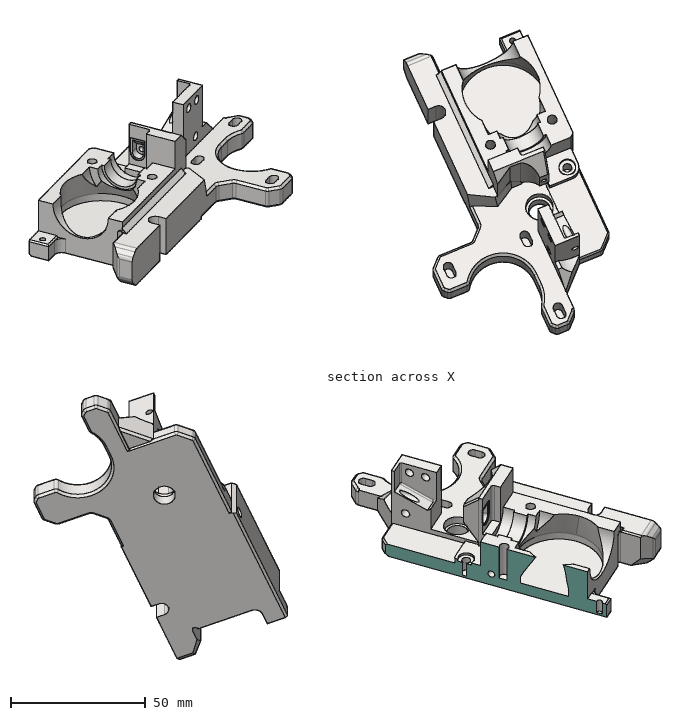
import cadquery as cq

width = 67.6
length = 118.6
height = 31.5
blind_floor = 1.2
light_chamfer = 0.6
edge_chamfer = 1.0
corner_round = 1.8

plate_top = 8.3
shelf_top = 6.0
shelf_left = 1.4
shelf_back = 96.3
step_x = 15.8

block_front = 12.1
block_back = 55.4
block_right = 35.0
block_top = 19.8
block_corner_chamfer = 1.4

rail_right = 45.1
rail_top = 15.5

axis_x = 17.5
axis_z = block_top

motor_x = 46.5
motor_y = 97.3
motor_pitch = 31.0
motor_travel = 2.8

tower_right = 25.7
tower_front = 80.4
pillar_left = 14.1
pillar_back = 60.4
recess_back = 58.8


def box(x0, x1, y0, y1, z0, z1):
    """Axis-aligned box between two corners."""
    return cq.Workplane("XY").box(x1 - x0, y1 - y0, z1 - z0, centered=False).translate((x0, y0, z0))


def prism(points, z0, z1):
    """Vertical prism over an XY outline."""
    return cq.Workplane("XY").workplane(offset=z0).polyline(points).close().extrude(z1 - z0)


def side_prism(points, x0, x1):
    """Prism along X over a YZ outline."""
    return cq.Workplane("YZ").workplane(offset=x0).polyline(points).close().extrude(x1 - x0)


def drill_z(x, y, radius, z0, z1):
    return cq.Workplane("XY").workplane(offset=z0).center(x, y).circle(radius).extrude(z1 - z0)


def drill_y(x, z, radius, y0, y1):
    return cq.Workplane("XZ", origin=(x, y0, z)).circle(radius).extrude(y0 - y1)


def drill_x(y, z, radius, x0, x1):
    return cq.Workplane("YZ", origin=(x0, y, z)).circle(radius).extrude(x1 - x0)


def slot_y(x, y, radius, travel, z0, z1):
    """Vertical slot elongated along Y."""
    return (
        cq.Workplane("XY", origin=(x, y, z0))
        .slot2D(travel + 2 * radius, 2 * radius, 90)
        .extrude(z1 - z0)
    )


def make_motor_plate():
    arm_right = 36.5
    arm_top = 89.7
    arm_bottom = 74.6
    neck = 4.7
    outline = [
        (tower_right, 114.7),
        (29.7, length),
        (34.5, length),
        (arm_right, 116.6),
        (arm_right, motor_y),
        (motor_x, arm_top),
        (65.6, arm_top),
        (width, 87.7),
        (width, 78.8),
        (63.5, arm_bottom),
        (rail_right + neck, arm_bottom),
        (rail_right, arm_bottom - neck),
        (rail_right, block_front),
        (tower_right, block_front),
    ]
    bore_y = 98.2
    bore_radius = 12.6
    bore_travel = 4.7
    bore = slot_y(motor_x, bore_y, bore_radius, bore_travel, 0, plate_top)
    plate = prism(outline, 0, plate_top).cut(bore)
    plate = plate.edges("|Z").fillet(corner_round)
    plate = plate.faces("<Z or >Z").edges().chamfer(edge_chamfer)
    core = box(step_x, rail_right - 2.4, block_front + 1.2, tower_front, 0, plate_top)
    square_edge = box(tower_right, tower_right + 2.4, tower_front, 113.9, edge_chamfer, plate_top)
    return plate.union(core).union(square_edge)


def cut_motor_slots(body):
    slot_radius = 1.8
    half = motor_pitch / 2
    for dx, dy in [(-half, half), (-half, -half), (half, -half)]:
        slot = slot_y(motor_x + dx, motor_y + dy, slot_radius, motor_travel, blind_floor, plate_top)
        body = body.cut(slot)
    return body


pad_x = 5.7
pad_y = 61.8


def make_shelf():
    corner = 5.2
    inner = step_x + 5.9
    outline = [
        (shelf_left, block_front + 1.2),
        (shelf_left, shelf_back - corner),
        (shelf_left + corner, shelf_back),
        (inner, shelf_back),
        (inner, block_front + 1.2),
    ]
    shelf = prism(outline, 0, shelf_top).edges("|Z").fillet(corner_round)
    shelf = shelf.faces("<Z").edges().chamfer(edge_chamfer)
    shelf = shelf.faces(">Z").edges().chamfer(light_chamfer)
    filler = box(step_x, tower_right + 2.4, tower_front - 1.2, shelf_back - edge_chamfer, 0, plate_top)
    pad_radius = pad_x - shelf_left
    pad_right = pillar_left + 0.6
    pad = (
        box(shelf_left, pad_right, block_back - 2.4, pad_y + pad_radius, edge_chamfer, plate_top)
        .edges("|Z and <X and >Y")
        .fillet(pad_radius - 0.1)
    )
    return shelf.union(filler).union(pad)


def cut_pad_hole(body):
    head_radius = 3.1
    head_depth = 1.0
    screw_radius = 1.7
    body = body.cut(drill_z(pad_x, pad_y, head_radius, plate_top - head_depth, plate_top))
    return body.cut(drill_z(pad_x, pad_y, screw_radius, blind_floor, plate_top))


def cut_shaft_hole(body):
    x, y = 21.5, 72.1
    counterbore_depth = 3.3
    counterbore_radius = 5.1
    bore_radius = 4.0
    body = body.cut(drill_z(x, y, counterbore_radius, plate_top - counterbore_depth, plate_top))
    return body.cut(drill_z(x, y, bore_radius, 0, plate_top))


def make_block():
    block = box(0, block_right, block_front, block_back, 0, block_top)
    block = block.edges("|Z and <X and >Y").chamfer(block_corner_chamfer)
    return block.edges("<Z and <X").chamfer(edge_chamfer)


def cut_channel(body):
    """Stepped half-round channel along Y, open at the block top."""
    steps = [
        (11.5, block_front, 42.2),
        (8.1, 42.2, 45.4),
        (7.0, 45.4, 50.8),
        (8.1, 50.8, block_back),
    ]
    below_top = box(0, block_right, 0, block_back, 0, block_top)
    for radius, y0, y1 in steps:
        body = body.cut(drill_y(axis_x, axis_z, radius, y0, y1).intersect(below_top))
    return body


def cut_bowl(body):
    """Round pocket with an upright front wall that widens toward the rear as it deepens."""
    mouth_y = 27.5
    mouth_radius = 14.5
    widening = 2.0
    floor = 5.2
    wide_z = plate_top
    wide_radius = mouth_radius + widening
    wide_y = mouth_y + widening
    cone = (
        cq.Workplane("XY", origin=(axis_x, wide_y, wide_z))
        .circle(wide_radius)
        .workplane(offset=block_top - wide_z)
        .center(0, -widening)
        .circle(mouth_radius)
        .loft()
    )
    base = drill_z(axis_x, wide_y, wide_radius, floor, wide_z)
    return body.cut(cone).cut(base)


def cut_block_holes(body):
    cap_offset = 12.5
    cap_y = 46.3
    cap_radius = 1.8
    cap_floor = 4.7
    for x in (axis_x - cap_offset, axis_x + cap_offset):
        body = body.cut(drill_z(x, cap_y, cap_radius, cap_floor, block_top))
    side_y, side_z = 51.0, 5.5
    for radius, depth in [(2.0, 3.5), (1.3, 9.5)]:
        body = body.cut(drill_x(side_y, side_z, radius, 0, depth))
    return body


def make_foot():
    foot_right = 8.2
    foot_front = 4.4
    foot_top = 6.6
    foot_fillet = 3.1
    foot = box(0, foot_right, foot_front, block_front + 1.2, 0, foot_top)
    foot = foot.edges("<X and <Z").chamfer(edge_chamfer)
    foot = foot.faces(">Z").edges(">X or <Y").chamfer(light_chamfer)
    relief_x = foot_right + foot_fillet
    relief_y = block_front - foot_fillet
    web = box(foot_right, relief_x, relief_y, block_front, 0, foot_top - light_chamfer)
    relief = drill_z(relief_x, relief_y, foot_fillet, 0, foot_top)
    foot = foot.union(web.cut(relief))
    hole_x, hole_y, hole_radius = 4.2, 7.4, 1.1
    return foot.cut(drill_z(hole_x, hole_y, hole_radius, blind_floor, foot_top))


def make_rail():
    nose = 3.0
    corner = 4.0
    blend = 2.4
    rail_back = 56.9
    profile = [
        (rail_back, 0),
        (nose, 0),
        (0, nose),
        (0, rail_top - nose),
        (nose, rail_top),
        (rail_back, rail_top),
    ]
    rail = side_prism(profile, block_right, rail_right)
    nose_edges = cq.selectors.BoxSelector((0, -1.2, 1.2), (width, 2 * nose, rail_top + 1.2))
    rail = rail.edges("|X").edges(nose_edges).fillet(blend)
    outline = [
        (block_right, rail_back),
        (block_right, corner),
        (block_right + corner, 0),
        (rail_right, 0),
        (rail_right, rail_back),
    ]
    plan = prism(outline, 0, rail_top).edges("|Z").edges("<Y").edges("<X").fillet(corner_round)
    undercut = cq.Workplane(
        cq.Plane(origin=(block_right, corner, 4.5), xDir=(1, -1, -0.4), normal=(11.8, 8.9, 7.5))
    )
    wedge = [
        (block_right, rail_top - light_chamfer),
        (block_right, rail_top),
        (block_right + light_chamfer, rail_top),
    ]
    side_bevel = cq.Workplane("XZ").polyline(wedge).close().extrude(-rail_back)
    rail = rail.intersect(plan).cut(side_bevel)
    return rail.cut(undercut.rect(length, length).extrude(-height))


def make_rail_back():
    """Peaked rear end of the rail, its walls leaning forward as they rise."""
    front = 55.8
    left = 23.7
    foot_line = [
        (left, front),
        (left, 61.2),
        (27.9, 61.2),
        (35.6, 66.1),
        (rail_right, 61.7),
        (rail_right, front),
    ]
    top_line = [
        (left, front),
        (left, 61.0),
        (28.2, 61.0),
        (36.1, 64.5),
        (rail_right, 59.4),
        (rail_right, front),
    ]
    sunk = 1.2
    return (
        cq.Workplane("XY", origin=(0, 0, plate_top - sunk))
        .polyline(foot_line)
        .close()
        .workplane(offset=rail_top - plate_top + sunk)
        .polyline(top_line)
        .close()
        .loft(ruled=True)
    )


def make_rail_strip():
    """Sloped strip that blends the block side into the rail top."""
    run = 1.9
    front = block_front - 0.6
    strip = [(block_right, rail_top), (block_right + run, rail_top), (block_right, rail_top + run)]
    return cq.Workplane("XZ", origin=(0, front, 0)).polyline(strip).close().extrude(front - pillar_back)


def cut_rail_notch(body):
    radius = 2.6
    x, y = 39.3 + radius, 25.4
    notch = drill_z(x, y, radius, 0, rail_top)
    return body.cut(notch).cut(box(x, rail_right, y - radius, y + radius, 0, rail_top))


def cut_corner_groove(body):
    """Vertical relief groove where the block front meets the rail."""
    radius = 1.1
    top = 15.0
    x = block_right - radius
    groove = drill_z(x, block_front, radius, 0, top)
    tip = cq.Workplane("XY", origin=(x, block_front, top)).circle(radius).extrude(radius, taper=44)
    return body.cut(groove).cut(tip)


def make_pillar():
    pillar = box(pillar_left, block_right, block_back, pillar_back, 0, height)
    nose_tip = 67.1
    nose_low = 15.8
    reach = nose_tip - pillar_back
    side = [
        (pillar_back, nose_low - reach),
        (nose_tip, nose_low),
        (nose_tip, height - reach),
        (pillar_back, height),
    ]
    plan = (
        cq.Workplane("XY")
        .moveTo(pillar_left, pillar_back)
        .lineTo(15.4, nose_tip)
        .lineTo(19.2, nose_tip)
        .threePointArc((21.0, 63.1), (24.3, 61.1))
        .lineTo(28.5, 61.0)
        .lineTo(block_right, 64.3)
        .lineTo(block_right, pillar_back)
        .close()
        .extrude(height)
    )
    nose = side_prism(side, pillar_left, block_right).intersect(plan)
    nose = nose.faces("<X").edges("not |Z").chamfer(light_chamfer)
    return pillar.union(nose)


def cut_pillar_recess(body):
    recess_floor = 14.5
    recess_right = 23.0
    recess = box(pillar_left, recess_right, block_back, recess_back, recess_floor, height)
    return body.cut(recess.edges("|Z and >X and >Y").fillet(1.1))


def cut_nut_slot(body):
    """Round-bottomed nut pocket with a sloped roof and a stepped mouth, in the recessed face."""
    radius = 2.3
    mouth = 0.7
    mouth_depth = 0.4
    face = recess_back
    depth = 3.5
    top = 25.3

    def pocket(r, y0, y1):
        roof = top + r - radius
        side = [(y0, axis_z), (y0, roof), (y1, roof - (y1 - y0)), (y1, axis_z)]
        upper = side_prism(side, axis_x - r, axis_x + r)
        return drill_y(axis_x, axis_z, r, y0, y1).union(upper)

    pocket_cut = pocket(radius, face, face + depth)
    step = pocket(radius + mouth, face, face + mouth_depth)
    return body.cut(pocket_cut).cut(step)


def make_tower():
    tower = box(step_x, tower_right, tower_front, shelf_back, 0, height)
    tower = tower.edges("<Z and >Y").chamfer(edge_chamfer)
    back_wall = 95.1
    lip_end = tower_front - 2.4
    opening_top = height + 2.4
    ledge = [
        (back_wall, opening_top),
        (back_wall, 21.6),
        (81.7, 17.1),
        (lip_end, 20.2),
        (lip_end, opening_top),
    ]
    ledge_right = 21.4
    pocket = side_prism(ledge, step_x - 2.4, ledge_right).faces(">X").edges().fillet(0.6)
    return tower.cut(pocket)


def make_gusset():
    gusset_top = 13.8
    slope_start = 99.4
    reach = tower_right - step_x
    outline = [(step_x, shelf_back), (tower_right, shelf_back + reach), (tower_right, shelf_back)]
    gusset = prism(outline, 0, gusset_top)
    gusset = gusset.faces("<Z").edges("<(1, -1, 0)").chamfer(edge_chamfer)
    back = shelf_back + reach
    slope = [
        (slope_start, gusset_top),
        (back, gusset_top),
        (back, gusset_top - (back - slope_start)),
    ]
    gusset = gusset.cut(side_prism(slope, step_x, tower_right))
    clearance_radius = 9.0
    return gusset.cut(drill_y(axis_x, axis_z, clearance_radius, shelf_back, back))


def cut_tower_holes(body):
    radius = 1.7
    for y, z in [(91.5, 27.8), (84.9, 27.8), (90.6, 12.6)]:
        body = body.cut(drill_x(y, z, radius, step_x, tower_right))
    return body


def cut_filament_path(body):
    tower_radius = 1.3
    pillar_radius = 1.1
    body = body.cut(drill_y(axis_x, axis_z, tower_radius, tower_front, shelf_back))
    return body.cut(drill_y(axis_x, axis_z, pillar_radius, block_back, tower_front))


result = make_motor_plate().union(make_shelf()).union(make_block()).union(make_foot())
result = result.union(make_rail()).union(make_rail_back()).union(make_rail_strip())
result = cut_rail_notch(cut_corner_groove(result))
result = cut_channel(result)
result = result.union(make_pillar()).union(make_tower()).union(make_gusset())
result = cut_pillar_recess(result)
result = cut_nut_slot(result)
result = cut_bowl(result)
result = cut_block_holes(result)
result = cut_motor_slots(result)
result = cut_pad_hole(result)
result = cut_shaft_hole(result)
result = cut_tower_holes(result)
result = cut_filament_path(result)